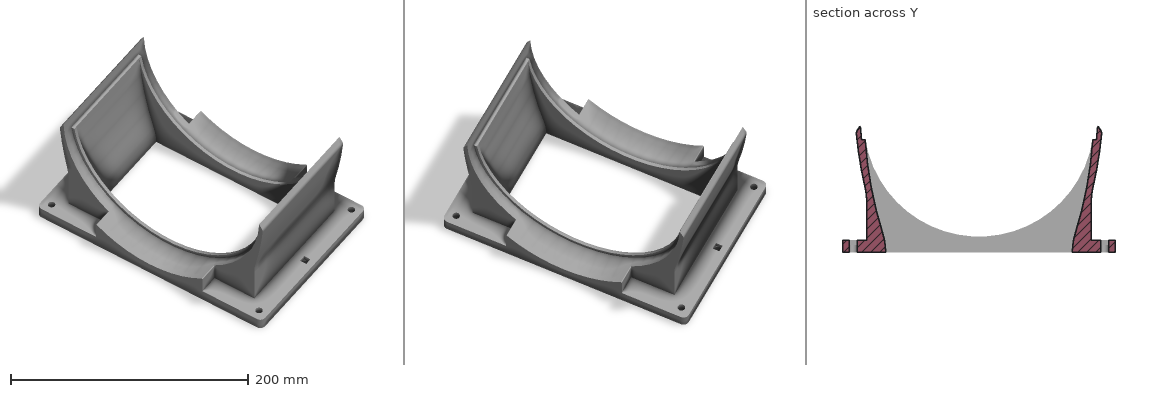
import cadquery as cq
import math

base_length = 230.0
base_width = 156.0
base_thickness = 10.5
corner_radius = 5.0

bore_radius = 100.0
bore_axis_height = base_thickness + bore_radius
seat_height = 3.0
seat_radius = bore_radius - seat_height
seat_width = 100.0
seat_top = 95.3
seat_top_x = math.sqrt(seat_radius**2 - (bore_axis_height - seat_top) ** 2)

wall_width = 120.0
wall_top = 107.39
wall_foot_x = 95.0
foot_top = 43.6
outer_blend_height = 11.3
outer_blend_radius = 50.0
shoulder_x = 103.8
shoulder_height = 101.7
shoulder_radius = 5.0
tip_x = math.sqrt(bore_radius**2 - (bore_axis_height - wall_top) ** 2)

opening_width = seat_width - 2 * seat_height
opening_foot_x = 78.5
opening_blend_height = 16.2
opening_blend_radius = 54.0

block_length = 108.8
block_edge_radius = 0.6

hole_diameter = 6.3
square_recess_size = hole_diameter
square_recess_depth = 4.0
hole_inset = 9.0
hole_spacing_x = base_length - 2 * hole_inset
hole_spacing_y = base_width - 2 * hole_inset


def extrude_along_y(profile, width):
    """Extrude an XZ profile by the given width, centred on Y = 0."""
    return profile.extrude(width / 2, both=True)


def flared_side(foot_x, blend_start, blend_height, blend_radius, end_point):
    """Half profile from the axis: vertical foot, tangent blend, then a tangent arc to end_point."""
    lean = math.asin(blend_height / blend_radius)
    middle = (
        foot_x + blend_radius * (1 - math.cos(lean / 2)),
        blend_start + blend_radius * math.sin(lean / 2),
    )
    blend_end = (foot_x + blend_radius * (1 - math.cos(lean)), blend_start + blend_height)
    side = cq.Workplane("XZ").moveTo(0, 0).lineTo(foot_x, 0)
    if blend_start > 0:
        side = side.lineTo(foot_x, blend_start)
    return side.threePointArc(middle, blend_end).tangentArcPoint(end_point, relative=False)


def both_sides(half):
    return half.union(half.mirror("YZ"))


def bore_cylinder(radius, width):
    return extrude_along_y(cq.Workplane("XZ").center(0, bore_axis_height).circle(radius), width)


def make_base():
    plate = cq.Workplane("XY").box(base_length, base_width, base_thickness, centered=(True, True, False))
    return plate.edges("|Z").fillet(corner_radius)


def make_walls():
    shoulder_point = (shoulder_x, shoulder_height)
    outline = flared_side(wall_foot_x, foot_top, outer_blend_height, outer_blend_radius, shoulder_point)
    outline = outline.lineTo(tip_x, wall_top).lineTo(0, wall_top).close()
    half = extrude_along_y(outline, wall_width)
    shoulder = cq.selectors.NearestToPointSelector((shoulder_x, 0, shoulder_height))
    return both_sides(half.edges(shoulder).fillet(shoulder_radius))


def make_blocks():
    """Blocks under the bore, with the thin edges where their sides meet it rounded."""
    block = cq.Workplane("XY").box(block_length, base_width, bore_axis_height, centered=(True, True, False))
    block = block.cut(bore_cylinder(bore_radius, base_width))
    return block.edges("|Y").edges(">Z").fillet(block_edge_radius)


def make_seat():
    """Liner that fills the bore down to the seat radius, up to the seat top."""
    liner = bore_cylinder(bore_radius, seat_width).cut(bore_cylinder(seat_radius, seat_width))
    below_top = cq.Workplane("XY").box(base_length, base_width, seat_top, centered=(True, True, False))
    return liner.intersect(below_top)


def make_opening():
    seat_edge = (seat_top_x, seat_top)
    outline = flared_side(opening_foot_x, 0, opening_blend_height, opening_blend_radius, seat_edge)
    half = extrude_along_y(outline.lineTo(0, seat_top).close(), opening_width)
    return both_sides(half)


def make_holes():
    """Round through holes: four in the corners and one midway along each end."""
    rows = (-hole_spacing_y / 2, 0, hole_spacing_y / 2)
    centers = [(side * hole_spacing_x / 2, y) for side in (-1, 1) for y in rows]
    return cq.Workplane("XY").pushPoints(centers).circle(hole_diameter / 2).extrude(base_thickness)


def make_square_recesses():
    """Square recesses in the top of the base over the two midway holes."""
    centers = [(side * hole_spacing_x / 2, 0) for side in (-1, 1)]
    top = cq.Workplane("XY", origin=(0, 0, base_thickness)).pushPoints(centers)
    return top.rect(square_recess_size, square_recess_size).extrude(-square_recess_depth)


body = make_base().union(make_walls())
body = body.cut(bore_cylinder(bore_radius, base_width))
body = body.union(make_blocks()).union(make_seat())
body = body.cut(make_opening())
result = body.cut(make_holes()).cut(make_square_recesses())